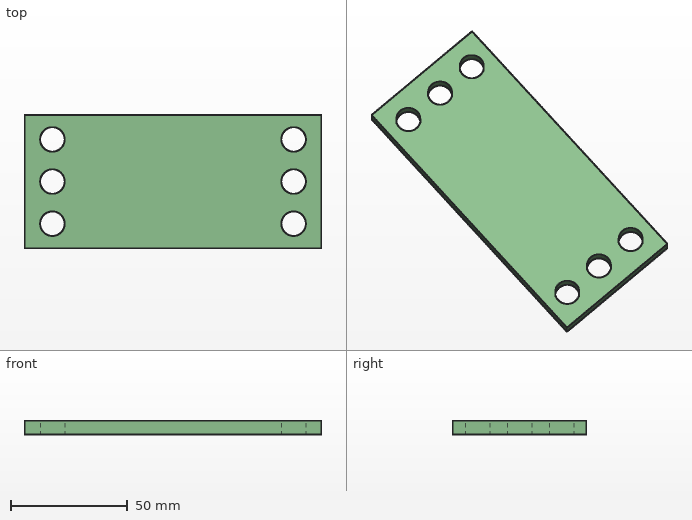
import cadquery as cq

length = 127.0
width = 57.2
thickness = 6.0

hole_diameter = 10.4
column_spacing = 103.3
row_spacing = 18.0
columns = 2
rows = 3

plate = cq.Workplane("XY").box(length, width, thickness)

result = (
    plate.faces(">Z")
    .workplane()
    .rarray(column_spacing, row_spacing, columns, rows)
    .hole(hole_diameter)
)